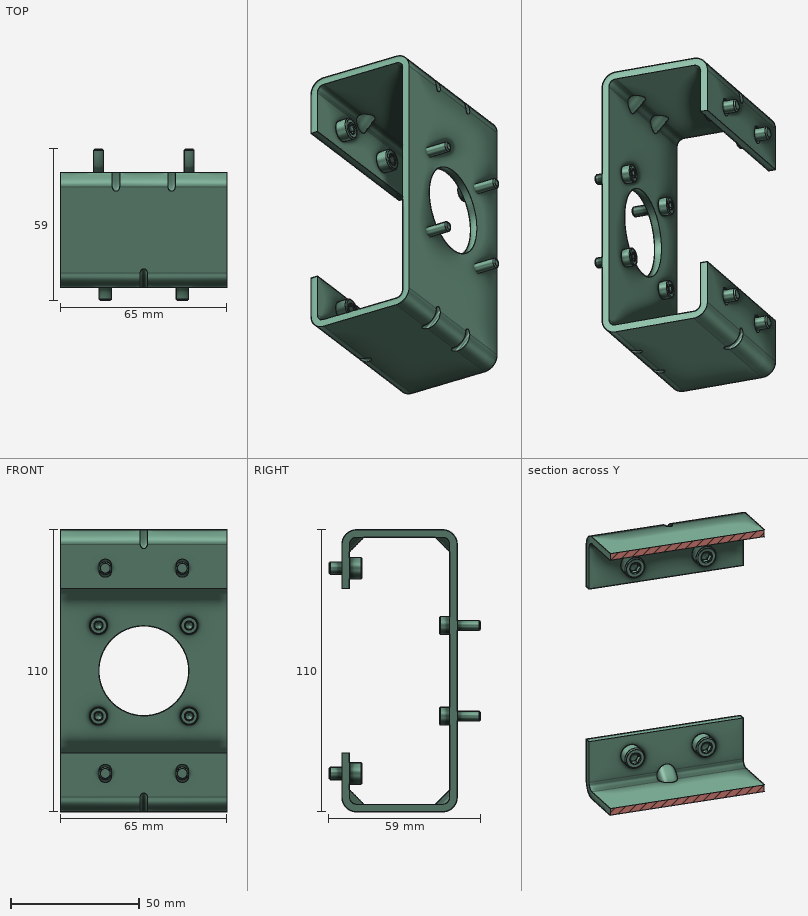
import cadquery as cq
import math

WIDTH = 65.0
DEPTH = 45.0
HEIGHT = 110.0
THICKNESS = 3.0
LIP_HEIGHT = 23.0
INNER_BEND = 2.9
OUTER_BEND = INNER_BEND + THICKNESS
BORE_DIAMETER = 35.0

DENT_RADIUS = THICKNESS / 2
DENT_SETBACK = 5.3
DENT_BAR_LENGTH = DEPTH / 2
BUMP_RADIUS = DENT_RADIUS + THICKNESS
REAR_DENT_X = WIDTH / 6

REAR_THREAD = 4.0
REAR_HEAD = 7.0
REAR_LENGTH = THICKNESS + 9.0
REAR_SOCKET = 3.0
REAR_HOLE = 4.5
REAR_PITCH = 35.3

LIP_THREAD = 5.0
LIP_HEAD = 8.5
LIP_LENGTH = THICKNESS + 5.0
LIP_SOCKET = 4.0
SLOT_LENGTH = 7.0
LIP_PITCH_X = 30.0
LIP_PITCH_Z = 80.0

HEAD_CHAMFER_RATIO = 0.1
SOCKET_DEPTH_RATIO = 0.5
SEAT_CHAMFER = 0.16
TIP_CHAMFER = 0.5
DRILL_POINT_ANGLE = 120
MOUTH_OVERSIZE = 0.1

FRONT_Y = -DEPTH / 2
REAR_Y = DEPTH / 2
LIP_INNER_Y = FRONT_Y + THICKNESS
WALL_INNER_Y = REAR_Y - THICKNESS


def block(depth, height, bend):
    """Full-width block with its four long edges rounded."""
    return cq.Workplane("XY").box(WIDTH, depth, height).edges("|X").fillet(bend)


def diagonal_ridge(radius, x, y_side, z_side):
    """Round-nosed bar lying at 45 degrees across one bend, nose inwards; the sides are +1 or -1."""
    bar = (
        cq.Workplane("XY", origin=(0, 0, -DENT_BAR_LENGTH / 2))
        .center(0, DENT_BAR_LENGTH / 2)
        .slot2D(DENT_BAR_LENGTH + 2 * radius, 2 * radius, 90).extrude(DENT_BAR_LENGTH)
    )
    outward_turn = math.degrees(math.atan2(z_side, y_side))
    nose_y = y_side * (DEPTH - DENT_SETBACK) / 2
    nose_z = z_side * (HEIGHT - DENT_SETBACK) / 2
    return bar.rotate((0, 0, 0), (1, 0, 0), outward_turn).translate((x, nose_y, nose_z))


def make_bracket():
    outside = block(DEPTH, HEIGHT, OUTER_BEND)
    cavity = block(DEPTH - 2 * THICKNESS, HEIGHT - 2 * THICKNESS, INNER_BEND)
    body = outside.cut(cavity)

    opening_height = HEIGHT - 2 * LIP_HEIGHT
    opening = cq.Workplane("XY").box(WIDTH, 2 * THICKNESS, opening_height).translate((0, FRONT_Y, 0))
    body = body.cut(opening)

    dents = [(x, 1, z) for x in (-REAR_DENT_X, REAR_DENT_X) for z in (-1, 1)]
    dents += [(0, -1, z) for z in (-1, 1)]
    for place in dents:
        bump = diagonal_ridge(BUMP_RADIUS, *place).intersect(cavity)
        body = body.union(bump)
    for place in dents:
        body = body.cut(diagonal_ridge(DENT_RADIUS, *place))

    rear_cuts = (
        cq.Workplane("XZ", origin=(0, REAR_Y, 0))
        .circle(BORE_DIAMETER / 2).extrude(THICKNESS)
        .rect(REAR_PITCH, REAR_PITCH, forConstruction=True).vertices()
        .circle(REAR_HOLE / 2).extrude(THICKNESS)
    )
    slots = (
        cq.Workplane("XZ", origin=(0, LIP_INNER_Y, 0))
        .rect(LIP_PITCH_X, LIP_PITCH_Z, forConstruction=True).vertices()
        .slot2D(SLOT_LENGTH, LIP_THREAD, 90).extrude(THICKNESS)
    )
    return body.cut(rear_cuts).cut(slots)


def make_screw(thread, head, length, socket):
    """Socket head cap screw along Z: head seat at Z = 0, head upwards, shank downwards."""
    head_height = thread
    shank = cq.Workplane("XY").circle(thread / 2).extrude(-length).faces("<Z").chamfer(TIP_CHAMFER)
    cap = (
        cq.Workplane("XY").circle(head / 2).extrude(head_height)
        .faces(">Z").chamfer(HEAD_CHAMFER_RATIO * thread)
        .faces("<Z").chamfer(SEAT_CHAMFER)
    )

    socket_depth = SOCKET_DEPTH_RATIO * head_height
    across_corners = socket / math.cos(math.pi / 6)
    hexagon = (
        cq.Workplane("XY", origin=(0, 0, head_height))
        .polygon(6, across_corners).extrude(-socket_depth)
    )
    point_height = socket / 2 / math.tan(math.radians(DRILL_POINT_ANGLE / 2))
    point_z = head_height - socket_depth - point_height
    drill_point = cq.Solid.makeCone(0, socket / 2, point_height, cq.Vector(0, 0, point_z))

    mouth_radius = across_corners / 2 + MOUTH_OVERSIZE
    lead_in = cq.Solid.makeCone(0, mouth_radius, mouth_radius, cq.Vector(0, 0, head_height - mouth_radius))

    return shank.union(cap).cut(hexagon).cut(cq.Workplane(drill_point)).cut(cq.Workplane(lead_in))


def place_screws(screw, pitch_x, pitch_z, seat_y, head_turn):
    """Four copies of a screw on a rectangle, turned about X and seated at seat_y."""
    turned = screw.rotate((0, 0, 0), (1, 0, 0), head_turn)
    return [
        turned.translate((x, seat_y, z)).val()
        for x in (-pitch_x / 2, pitch_x / 2)
        for z in (-pitch_z / 2, pitch_z / 2)
    ]


bracket = make_bracket()
rear_screw = make_screw(REAR_THREAD, REAR_HEAD, REAR_LENGTH, REAR_SOCKET)
lip_screw = make_screw(LIP_THREAD, LIP_HEAD, LIP_LENGTH, LIP_SOCKET)
rear_screws = place_screws(rear_screw, REAR_PITCH, REAR_PITCH, WALL_INNER_Y, 90)
lip_screws = place_screws(lip_screw, LIP_PITCH_X, LIP_PITCH_Z, LIP_INNER_Y, -90)

result = cq.Compound.makeCompound([bracket.val(), *rear_screws, *lip_screws])